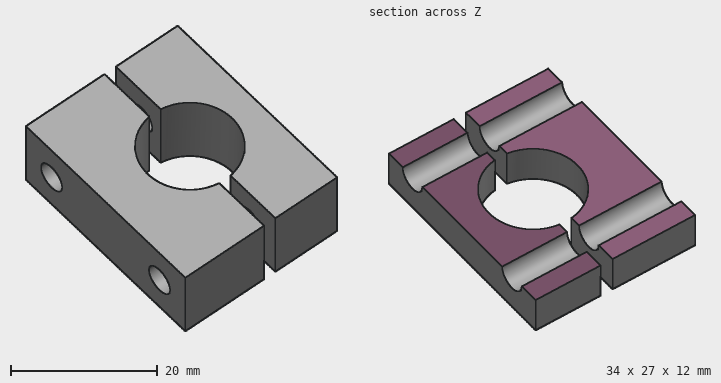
import cadquery as cq

LENGTH = 34.0
HEIGHT = 12.0
FRONT_DEPTH = 14.0
BACK_DEPTH = 11.0
GAP = 2.0

BORE_DIAMETER = 15.0
SCREW_DIAMETER = 4.5
SCREW_SPACING = 23.0


def clamp_half(depth, side):
    """Block on one side of the gap (side = -1 front, +1 back), with its share of the bore and screw holes."""
    centre_y = side * (GAP + depth) / 2
    block = cq.Workplane("XY").box(LENGTH, depth, HEIGHT).translate((0, centre_y, 0))
    bore = cq.Workplane("XY").circle(BORE_DIAMETER / 2).extrude(HEIGHT, both=True)
    screw_holes = (
        cq.Workplane("XZ")
        .pushPoints([(-SCREW_SPACING / 2, 0), (SCREW_SPACING / 2, 0)])
        .circle(SCREW_DIAMETER / 2)
        .extrude(GAP + depth, both=True)
    )
    return block.cut(bore).cut(screw_holes)


front_half = clamp_half(FRONT_DEPTH, -1)
back_half = clamp_half(BACK_DEPTH, 1)

result = cq.Compound.makeCompound([front_half.solids().val(), back_half.solids().val()])